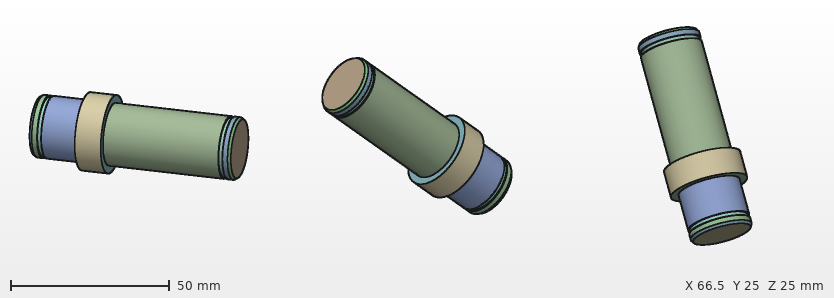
import cadquery as cq

length = 66.5
shaft_diameter = 20.0
collar_diameter = 25.0
collar_start = 15.9
collar_width = 8.6

groove_diameter = 19.0
groove_width = 1.3
groove_inset = 2.65

chamfer_length = 0.9
chamfer_depth = 0.6

left_end = -length / 2
right_end = length / 2


def cylinder(start, width, diameter):
    """Solid cylinder along X, beginning at X = start."""
    return cq.Workplane("YZ", origin=(start, 0, 0)).circle(diameter / 2).extrude(width)


def chamfered_shaft():
    """Shaft turned from a half profile, with both end edges chamfered."""
    radius = shaft_diameter / 2
    end_radius = radius - chamfer_depth
    profile = (
        cq.Workplane("XY")
        .moveTo(left_end, 0)
        .lineTo(left_end, end_radius)
        .lineTo(left_end + chamfer_length, radius)
        .lineTo(right_end - chamfer_length, radius)
        .lineTo(right_end, end_radius)
        .lineTo(right_end, 0)
        .close()
    )
    return profile.revolve(360, (0, 0, 0), (1, 0, 0))


def groove_ring(start):
    """Ring of material removed to form one groove."""
    outer = cylinder(start, groove_width, collar_diameter)
    return outer.cut(cylinder(start, groove_width, groove_diameter))


result = chamfered_shaft().union(cylinder(left_end + collar_start, collar_width, collar_diameter))

for groove_start in (left_end + groove_inset, right_end - groove_inset - groove_width):
    result = result.cut(groove_ring(groove_start))